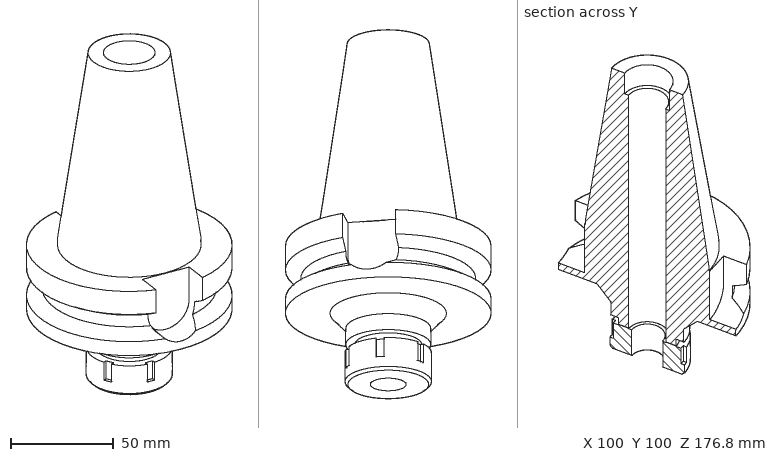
import cadquery as cq

NUT_TOP = 16.5
NECK_TOP = 20.7
COLLAR_TOP = 29.0
FLANGE_BOTTOM = 37.0
GROOVE_LOWER_RIM = 44.5
GROOVE_FLOOR_BOTTOM = 48.8
GROOVE_FLOOR_TOP = 55.2
GROOVE_UPPER_RIM = 59.4
FLANGE_TOP = 72.0
TAPER_BASE = 75.0
TOP = 176.8

FLANGE_DIA = 100.0
GROOVE_DIA = 85.0
TAPER_BASE_DIA = 69.8
TAPER_RATIO = 7 / 24
TAPER_TOP_DIA = TAPER_BASE_DIA - TAPER_RATIO * (TOP - TAPER_BASE)
CONE_DIA = 56.5
COLLAR_DIA = 41.4
NECK_DIA = 32.5

TOP_BORE_DIA = 25.1
TOP_BORE_DEPTH = 13.0
HOLDER_BORE_DIA = 20.9
NUT_BORE_DIA = 17.3

KEYWAY_WIDTH = 26.2
KEYWAY_FLOOR_X = 35.4
KEYWAY_BOTTOM = 41.4

NUT_DIA = 42.0
NUT_CHAMFER = 1.5
NUT_SLOT_COUNT = 6
NUT_SLOT_WIDTH = 4.0
NUT_SLOT_DEPTH = 2.0
NUT_SLOT_BOTTOM = 6.7


def cylinder(diameter, bottom, top):
    """Solid cylinder about Z between two heights."""
    return cq.Workplane("XY").workplane(offset=bottom).circle(diameter / 2).extrude(top - bottom)


def holder_blank():
    """Revolved taper, grooved flange, cone, collar and neck."""
    profile = [
        (0, NUT_TOP),
        (NECK_DIA / 2, NUT_TOP),
        (NECK_DIA / 2, NECK_TOP),
        (COLLAR_DIA / 2, NECK_TOP),
        (COLLAR_DIA / 2, COLLAR_TOP),
        (CONE_DIA / 2, FLANGE_BOTTOM),
        (FLANGE_DIA / 2, FLANGE_BOTTOM),
        (FLANGE_DIA / 2, GROOVE_LOWER_RIM),
        (GROOVE_DIA / 2, GROOVE_FLOOR_BOTTOM),
        (GROOVE_DIA / 2, GROOVE_FLOOR_TOP),
        (FLANGE_DIA / 2, GROOVE_UPPER_RIM),
        (FLANGE_DIA / 2, FLANGE_TOP),
        (TAPER_BASE_DIA / 2, FLANGE_TOP),
        (TAPER_BASE_DIA / 2, TAPER_BASE),
        (TAPER_TOP_DIA / 2, TOP),
        (0, TOP),
    ]
    return cq.Workplane("XZ").polyline(profile).close().revolve(360, (0, 0), (0, 1))


def holder_bores():
    """Stepped bore running down from the small end of the taper."""
    counterbore = cylinder(TOP_BORE_DIA, TOP - TOP_BORE_DEPTH, TOP)
    through_bore = cylinder(HOLDER_BORE_DIA, NUT_TOP, TOP)
    return counterbore.union(through_bore)


def keyway(side):
    """Round-bottomed drive keyway, open at the flange top and rim; side is +1 or -1 along X."""
    radius = KEYWAY_WIDTH / 2
    arc_centre = KEYWAY_BOTTOM + radius
    return (
        cq.Workplane("YZ", origin=(side * KEYWAY_FLOOR_X, 0, 0))
        .moveTo(-radius, FLANGE_TOP)
        .lineTo(-radius, arc_centre)
        .threePointArc((0, KEYWAY_BOTTOM), (radius, arc_centre))
        .lineTo(radius, FLANGE_TOP)
        .close()
        .extrude(side * FLANGE_DIA / 2)
    )


def make_holder():
    body = holder_blank().cut(holder_bores())
    for side in (-1, 1):
        body = body.cut(keyway(side))
    return body


def nut_slot(angle):
    """Wrench slot in the side of the nut, open at its top, at the given angle about Z."""
    floor_radius = NUT_DIA / 2 - NUT_SLOT_DEPTH
    return (
        cq.Workplane("XY", origin=(floor_radius, 0, NUT_SLOT_BOTTOM))
        .box(NUT_DIA, NUT_SLOT_WIDTH, NUT_TOP - NUT_SLOT_BOTTOM, centered=(False, True, False))
        .rotate((0, 0, 0), (0, 0, 1), angle)
    )


def make_nut():
    body = cylinder(NUT_DIA, 0, NUT_TOP).faces("<Z").chamfer(NUT_CHAMFER)
    body = body.cut(cylinder(NUT_BORE_DIA, 0, NUT_TOP))
    for index in range(NUT_SLOT_COUNT):
        body = body.cut(nut_slot(index * 360 / NUT_SLOT_COUNT))
    return body


holder = make_holder()
nut = make_nut()
result = cq.Compound.makeCompound([holder.val(), nut.val()])